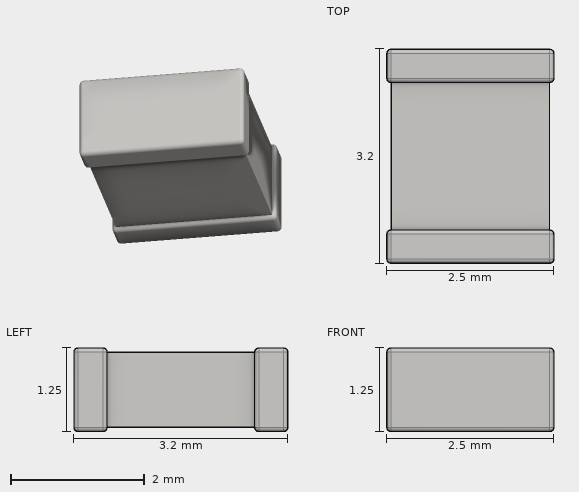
import cadquery as cq

length = 3.2
width = 2.5
height = 1.25
cap_length = 0.5
edge_radius = 0.065

body_width = width - 2 * edge_radius
body_height = height - 2 * edge_radius
body_length = length - cap_length
cap_offset = (length - cap_length) / 2


def end_cap(side):
    """Terminal cap with every edge rounded; side is -1 or +1 along Y."""
    cap = cq.Workplane("XY").box(width, cap_length, height).edges().fillet(edge_radius)
    return cap.translate((0, side * cap_offset, 0))


result = cq.Workplane("XY").box(body_width, body_length, body_height)
for side in (-1, 1):
    result = result.union(end_cap(side))